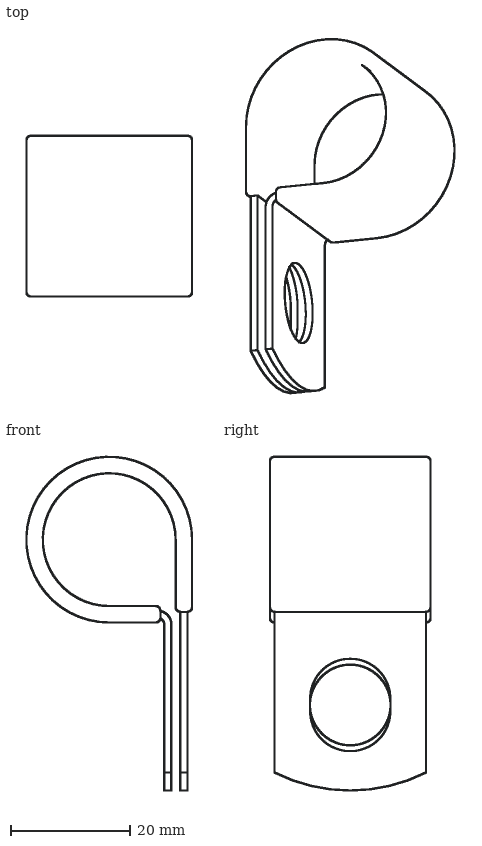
import cadquery as cq
import math

total_height = 55.95
cushion_width = 27.0
cushion_wall = 0.8
strip_thickness = 1.25
loop_diameter = 27.8
upright_leg_end = -12.1
flat_leg_end = 8.55
tab_gap = 1.45
bend_inner = 1.1
hole_diameter = 13.5
slot_length = 15.5
hole_z = -27.7
tip_rise = 3.0

loop_radius = loop_diameter / 2
strip_width = cushion_width - 2 * cushion_wall
cushion_thickness = strip_thickness + 2 * cushion_wall
bore_radius = loop_radius - cushion_thickness
strip_outer = loop_radius - cushion_wall
strip_inner = strip_outer - strip_thickness
tab_bottom = loop_radius - total_height
front_tab_outer = strip_inner - tab_gap
front_tab_inner = front_tab_outer - strip_thickness
bend_outer = bend_inner + strip_thickness
bend_start = front_tab_outer - bend_outer


def extrude_centered(profile, width):
    """Extrude an XZ profile symmetrically about Y = 0."""
    return profile.extrude(width / 2, both=True)


def band(outer, inner, upright_end, flat_end):
    """Three-quarter ring with a straight tangent leg at each end."""
    diagonal = math.sqrt(0.5)
    profile = (
        cq.Workplane("XZ")
        .moveTo(outer, upright_end)
        .lineTo(outer, 0)
        .threePointArc((-outer * diagonal, outer * diagonal), (0, -outer))
        .lineTo(flat_end, -outer)
        .lineTo(flat_end, -inner)
        .lineTo(0, -inner)
        .threePointArc((-inner * diagonal, inner * diagonal), (inner, 0))
        .lineTo(inner, upright_end)
        .close()
    )
    return profile


def make_cushion():
    profile = band(loop_radius, bore_radius, upright_leg_end, flat_leg_end)
    body = extrude_centered(profile, cushion_width)
    side_edges = body.faces("<Y or >Y").edges()
    upright_end_edges = body.faces(cq.selectors.NearestToPointSelector(
        ((loop_radius + bore_radius) / 2, 0, upright_leg_end))).edges()
    flat_end_edges = body.faces(cq.selectors.NearestToPointSelector(
        (flat_leg_end, 0, -(loop_radius + bore_radius) / 2))).edges()
    return side_edges.add(upright_end_edges).add(flat_end_edges).fillet(cushion_wall)


def make_strip():
    loop = extrude_centered(
        band(strip_outer, strip_inner, tab_bottom, bend_start), strip_width)
    bend_z = -strip_inner - bend_outer
    diagonal = math.sqrt(0.5)
    front_tab = (
        cq.Workplane("XZ")
        .moveTo(bend_start, -strip_inner)
        .threePointArc(
            (bend_start + bend_outer * diagonal, bend_z + bend_outer * diagonal),
            (front_tab_outer, bend_z))
        .lineTo(front_tab_outer, tab_bottom)
        .lineTo(front_tab_inner, tab_bottom)
        .lineTo(front_tab_inner, bend_z)
        .threePointArc(
            (bend_start + bend_inner * diagonal, bend_z + bend_inner * diagonal),
            (bend_start, -strip_outer))
        .close()
    )
    return loop.union(extrude_centered(front_tab, strip_width))


def make_tab_outline():
    """Side silhouette that limits the strip to its curved lower end."""
    half_width = strip_width / 2
    return (
        cq.Workplane("YZ")
        .moveTo(-half_width, loop_radius)
        .lineTo(-half_width, tab_bottom + tip_rise)
        .threePointArc((0, tab_bottom), (half_width, tab_bottom + tip_rise))
        .lineTo(half_width, loop_radius)
        .close()
        .extrude(loop_radius, both=True)
    )


def make_front_hole():
    return (
        cq.Workplane("YZ", origin=(front_tab_inner, 0, hole_z))
        .circle(hole_diameter / 2)
        .extrude(strip_thickness)
    )


def make_back_slot():
    return (
        cq.Workplane("YZ", origin=(strip_inner, 0, hole_z))
        .slot2D(slot_length, hole_diameter, 90)
        .extrude(strip_thickness)
    )


strip = make_strip().intersect(make_tab_outline())
strip = strip.cut(make_front_hole()).cut(make_back_slot())
result = make_cushion().union(strip)